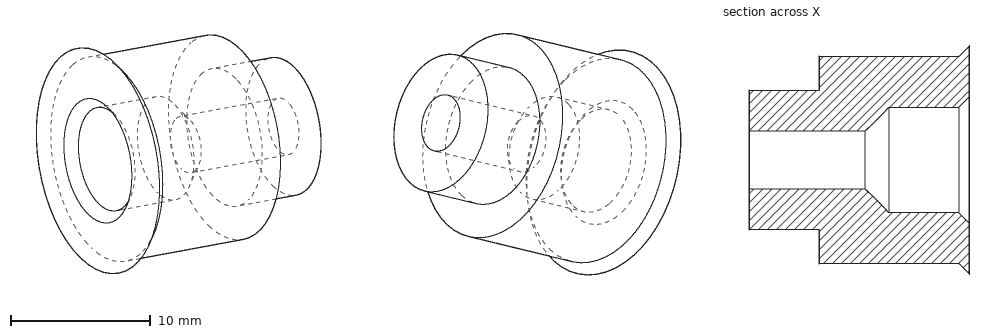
import cadquery as cq

total_length = 15.75
flare_diameter = 16.35
body_diameter = 14.85
boss_diameter = 10.0
boss_length = 5.0
bore_diameter = 7.5
bore_length = 5.0
through_diameter = 4.1

flare = (flare_diameter - body_diameter) / 2
shoulder_y = total_length - boss_length

cone_length = (bore_diameter - through_diameter) / 2
bore_end_y = flare + bore_length

half_section = (
    cq.Workplane("XY")
    .moveTo(bore_diameter / 2 + flare, 0)
    .lineTo(flare_diameter / 2, 0)
    .lineTo(body_diameter / 2, flare)
    .lineTo(body_diameter / 2, shoulder_y)
    .lineTo(boss_diameter / 2, shoulder_y)
    .lineTo(boss_diameter / 2, total_length)
    .lineTo(through_diameter / 2, total_length)
    .lineTo(through_diameter / 2, bore_end_y + cone_length)
    .lineTo(bore_diameter / 2, bore_end_y)
    .lineTo(bore_diameter / 2, flare)
    .close()
)

result = half_section.revolve(360, (0, 0, 0), (0, 1, 0))